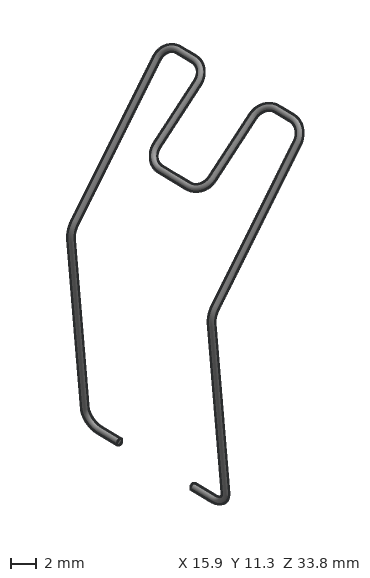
import cadquery as cq
import math

overall_width = 15.85
overall_height = 33.75
wire_diameter = 0.6
wire_radius = wire_diameter / 2

corner_radius = 1.5
elbow_radius = 2.0
lower_leg_lean = 5.0
upper_leg_lean = 39.9
tongue_lean = 52.0
elbow_height = 20.3
tongue_length = 8.78
foot_gap = 7.95
tongue_width = 6.0

leg_x = overall_width / 2 - wire_radius
foot_x = foot_gap / 2
tongue_x = tongue_width / 2
foot_z = wire_radius
crest_z = overall_height - wire_radius
elbow_z = foot_z + elbow_height


def run(rise, lean):
    """Horizontal travel of a straight length with the given rise and lean."""
    return rise * math.tan(math.radians(lean))


foot_y = 0.0
elbow_y = foot_y - run(elbow_height, lower_leg_lean)
crest_y = elbow_y + run(crest_z - elbow_z, upper_leg_lean)
tip_y = crest_y - tongue_length * math.sin(math.radians(tongue_lean))
tip_z = crest_z - tongue_length * math.cos(math.radians(tongue_lean))

foot_end = cq.Vector(foot_x, foot_y, foot_z)
right_bends = [
    (cq.Vector(leg_x, foot_y, foot_z), corner_radius),
    (cq.Vector(leg_x, elbow_y, elbow_z), elbow_radius),
    (cq.Vector(leg_x, crest_y, crest_z), corner_radius),
    (cq.Vector(tongue_x, crest_y, crest_z), corner_radius),
    (cq.Vector(tongue_x, tip_y, tip_z), corner_radius),
]


def mirrored(point):
    return cq.Vector(-point.x, point.y, point.z)


def bend_arc(before, corner, after, radius):
    """Start, middle and end of the arc that rounds a corner."""
    to_before = (before - corner).normalized()
    to_after = (after - corner).normalized()
    half_angle = to_before.getAngle(to_after) / 2
    setback = radius / math.tan(half_angle)
    middle_distance = radius / math.sin(half_angle) - radius
    bisector = (to_before + to_after).normalized()
    return (
        corner + to_before * setback,
        corner + bisector * middle_distance,
        corner + to_after * setback,
    )


def wire_path(start, bends, end):
    """Straight lengths joined by tangent arcs."""
    corners = [start] + [corner for corner, _ in bends] + [end]
    edges = []
    position = start
    for index, (corner, radius) in enumerate(bends):
        arc_start, arc_middle, arc_end = bend_arc(corners[index], corner, corners[index + 2], radius)
        edges.append(cq.Edge.makeLine(position, arc_start))
        edges.append(cq.Edge.makeThreePointArc(arc_start, arc_middle, arc_end))
        position = arc_end
    edges.append(cq.Edge.makeLine(position, end))
    return cq.Wire.assembleEdges(edges)


left_bends = [(mirrored(corner), radius) for corner, radius in reversed(right_bends)]
path = wire_path(foot_end, right_bends + left_bends, mirrored(foot_end))

section_plane = cq.Plane(origin=foot_end.toTuple(), xDir=(0, 1, 0), normal=(1, 0, 0))
result = cq.Workplane(section_plane).circle(wire_radius).sweep(cq.Workplane(obj=path))